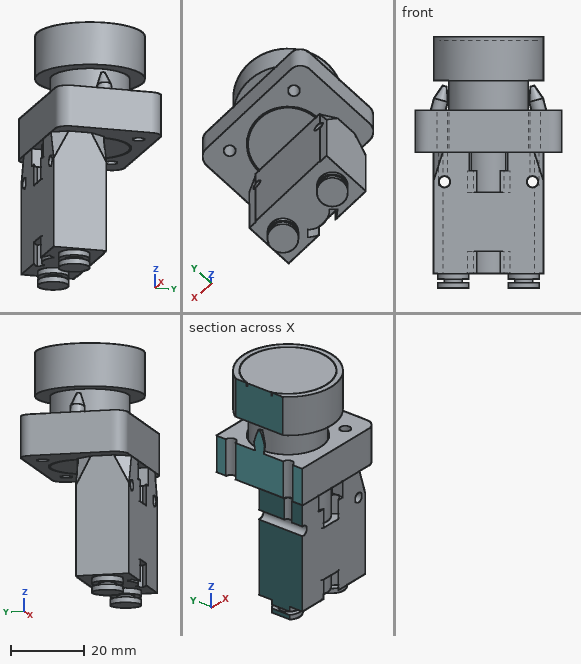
import cadquery as cq
import math


rim_height = 1.5
fitting_groove_height = 0.95
valve_height = 33.0
flange_height = 11.5
neck_height = 8.0

valve_bottom = 2 * rim_height + fitting_groove_height
flange_bottom = valve_bottom + valve_height
flange_top = flange_bottom + flange_height
head_bottom = flange_top + neck_height
head_top = 68.5

flange_length = 40.0
flange_width = 30.0
flange_corner_radius = 3.55
bore_diameter = 22.5
mount_hole_diameter = 3.2
mount_hole_x = 12.5
mount_hole_y = 10.0

screw_diameter = 4.0
screw_tip_diameter = 1.15
screw_tilt = 15.0
screw_offset = 13.7
screw_straight_length = 2.8
screw_cone_length = 4.0
screw_root = 1.4

neck_diameter = 21.7
head_diameter = flange_width
cap_diameter = 26.3
cap_groove_diameter = 26.5
cap_groove_depth = 1.0

valve_length = flange_width
valve_width = flange_width / 2
valve_axis_y = -valve_width / 2
corner_cut_x = 2.55
corner_cut_y = 4.25
corner_cut_z = 7.95
back_pad_thickness = 0.2
back_pad_length = valve_length - 2 * corner_cut_x
cross_hole_diameter = 3.0
cross_hole_x = 12.0
cross_hole_drop = 8.0
fixing_hole_diameter = 2.5
fixing_hole_depth = 9.0

core_radius = 5.95
recess_outer_radius = 8.15
recess_half_angle = 45.0
slot_width = 10.5
slot_depth = 3.8
slot_height = 5.0
upper_recess_height = 5.9
lower_recess_height = 6.0

fitting_rim_diameter = 8.5
fitting_groove_diameter = 5.0
fitting_x = 9.6


def cylinder(diameter, height, x, y, bottom):
    """Upright cylinder standing on the height `bottom`."""
    return cq.Workplane("XY").workplane(offset=bottom).center(x, y).circle(diameter / 2).extrude(height)


def make_clamp_screw(side):
    """Tilted screw with a blunt conical end; side is +1 or -1 along X."""
    radius = screw_diameter / 2
    tip_radius = screw_tip_diameter / 2
    screw = (
        cq.Workplane("XZ")
        .moveTo(0, -screw_root)
        .lineTo(radius, -screw_root)
        .lineTo(radius, screw_straight_length)
        .lineTo(tip_radius, screw_straight_length + screw_cone_length)
        .lineTo(0, screw_straight_length + screw_cone_length)
        .close()
        .revolve(360, (0, 0, 0), (0, 1, 0))
    )
    screw = screw.rotate((0, 0, 0), (0, 1, 0), -side * screw_tilt)
    return screw.translate((side * screw_offset, 0, flange_top))


def make_collar():
    """Flange with a round bore, four mounting holes and two clamping screws."""
    collar = (
        cq.Workplane("XY")
        .workplane(offset=flange_bottom)
        .rect(flange_length, flange_width)
        .extrude(flange_height)
        .edges("|Z")
        .fillet(flange_corner_radius)
    )
    for side in (-1, 1):
        collar = collar.union(make_clamp_screw(side))
    collar = collar.cut(cylinder(bore_diameter, flange_height, 0, 0, flange_bottom))
    for x in (-mount_hole_x, mount_hole_x):
        for y in (-mount_hole_y, mount_hole_y):
            collar = collar.cut(cylinder(mount_hole_diameter, flange_height, x, y, flange_bottom))
    return collar


def make_push_button():
    """Round head on a neck that passes through the collar bore and stands on the valve."""
    neck = cylinder(neck_diameter, head_bottom - flange_bottom, 0, 0, flange_bottom)
    head = cylinder(head_diameter, head_top - head_bottom, 0, 0, head_bottom)
    groove_bottom = head_top - cap_groove_depth
    groove = cylinder(cap_groove_diameter, cap_groove_depth, 0, 0, groove_bottom)
    groove = groove.cut(cylinder(cap_diameter, cap_groove_depth, 0, 0, groove_bottom))
    return neck.union(head).cut(groove)


def make_corner_wedge(side_x, side_y):
    """Tetrahedron that slopes off one upper corner of the valve block."""
    x = side_x * valve_length / 2
    y = valve_axis_y + side_y * valve_width / 2
    corner = cq.Vector(x, y, flange_bottom)
    along_x = cq.Vector(x - side_x * corner_cut_x, y, flange_bottom)
    along_y = cq.Vector(x, y - side_y * corner_cut_y, flange_bottom)
    below = cq.Vector(x, y, flange_bottom - corner_cut_z)
    triangles = [
        (corner, along_x, along_y),
        (corner, along_x, below),
        (corner, along_y, below),
        (along_x, along_y, below),
    ]
    faces = [cq.Face.makeFromWires(cq.Wire.makePolygon(points, close=True)) for points in triangles]
    return cq.Workplane(cq.Solid.makeSolid(cq.Shell.makeShell(faces)))


def make_sector_recess(bottom, height):
    """Ring sector around the core that breaks out through the front face."""
    ring = cylinder(2 * recess_outer_radius, height, 0, valve_axis_y, bottom)
    ring = ring.cut(cylinder(2 * core_radius, height, 0, valve_axis_y, bottom))
    reach = 2 * recess_outer_radius
    half_span = reach * math.tan(math.radians(recess_half_angle))
    sector = (
        cq.Workplane("XY")
        .workplane(offset=bottom)
        .center(0, valve_axis_y)
        .polyline([(0, 0), (-half_span, -reach), (half_span, -reach)])
        .close()
        .extrude(height)
    )
    return ring.intersect(sector)


def make_slot():
    """Shallow slot at the top of the front face, with the core left standing in it."""
    bottom = flange_bottom - slot_height
    slot = (
        cq.Workplane("XY")
        .workplane(offset=bottom)
        .center(0, slot_depth / 2 - valve_width)
        .rect(slot_width, slot_depth)
        .extrude(slot_height)
    )
    return slot.cut(cylinder(2 * core_radius, slot_height, 0, valve_axis_y, bottom))


def make_fitting(x):
    """Tube fitting under the block: two rims with a groove between them."""
    lower_rim = cylinder(fitting_rim_diameter, rim_height, x, valve_axis_y, 0)
    stem = cylinder(fitting_groove_diameter, valve_bottom, x, valve_axis_y, 0)
    upper_rim = cylinder(fitting_rim_diameter, rim_height, x, valve_axis_y, valve_bottom - rim_height)
    return lower_rim.union(stem).union(upper_rim)


def make_valve():
    """Block with sloped corners, a thin back pad, holes, front recesses and two tube fittings."""
    valve = (
        cq.Workplane("XY")
        .workplane(offset=valve_bottom)
        .center(0, valve_axis_y)
        .rect(valve_length, valve_width)
        .extrude(valve_height)
    )
    for side_x in (-1, 1):
        for side_y in (-1, 1):
            valve = valve.cut(make_corner_wedge(side_x, side_y))

    back_pad = (
        cq.Workplane("XY")
        .workplane(offset=valve_bottom)
        .center(0, back_pad_thickness / 2)
        .rect(back_pad_length, back_pad_thickness)
        .extrude(valve_height)
    )
    valve = valve.union(back_pad)

    valve = valve.cut(make_slot())
    upper_recess_bottom = flange_bottom - slot_height - upper_recess_height
    valve = valve.cut(make_sector_recess(upper_recess_bottom, upper_recess_height))
    valve = valve.cut(make_sector_recess(valve_bottom, lower_recess_height))

    for side in (-1, 1):
        cross_hole = (
            cq.Workplane("XZ")
            .workplane(offset=-back_pad_thickness)
            .center(side * cross_hole_x, flange_bottom - cross_hole_drop)
            .circle(cross_hole_diameter / 2)
            .extrude(valve_width + back_pad_thickness)
        )
        fixing_hole = cylinder(
            fixing_hole_diameter,
            fixing_hole_depth,
            side * mount_hole_x,
            -mount_hole_y,
            flange_bottom - fixing_hole_depth,
        )
        valve = valve.cut(cross_hole).cut(fixing_hole)
        valve = valve.union(make_fitting(side * fitting_x))
    return valve


collar = make_collar()
push_button = make_push_button()
valve = make_valve()

result = cq.Compound.makeCompound([collar.val(), push_button.val(), valve.val()])